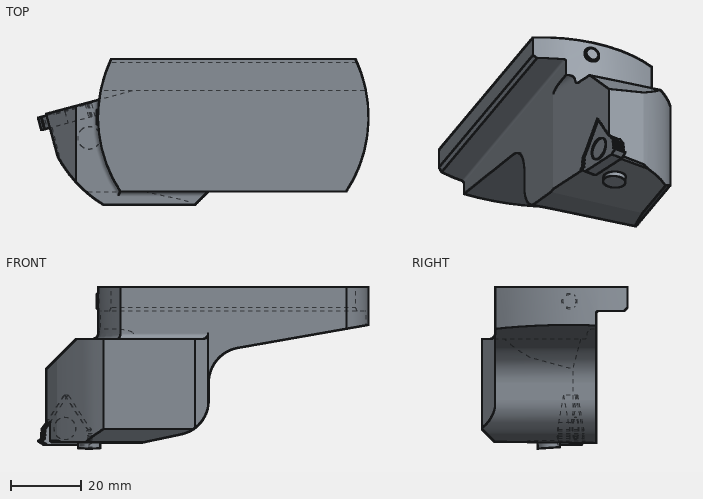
import cadquery as cq
import math


plate_radius = 38.5
plate_front_y = -21.2
plate_back_y = 16.55
flange_thickness = 6.9
flange_chamfer = 1.0
step_fillet = 0.7

body_back_y = 7.6
arm_end_thickness = 10.8
arm_slope = math.tan(math.radians(10))
arm_fillet = 10.0

head_front_y = -24.9
head_right_x = -7.0
head_bottom_z = -44.4
head_bottom_rise = 0.4
shelf_z = -14.8
corner_chamfer = 3.95
neck_fillet = 1.5
heel_start_x = -26.3
heel_slope = math.tan(math.radians(12))
heel_fillet = 10.0
nose_chamfer = 8.6
flank_chamfer = 0.75

rake_angle = 15
rake_cos = math.cos(math.radians(rake_angle))
rake_sin = math.sin(math.radians(rake_angle))
nose_x = -53.2
nose_y = 0.9
flank_length = 12.5
front_start_x = -37.0
nose_round_radius = 36.7
rake_top_z = -11.9
rake_fillet = neck_fillet

stop_pin_diameter = 4.4
stop_pin_chamfer = 0.4
stop_pin_z = -4.0
stop_pin_protrusion = 0.5
stop_pin_length = 3.8
screw_diameter = 6.4
screw_x = -41.0
screw_y = -5.8
screw_tilt = 4
screw_end_z = -45.8
screw_length = 5.6

insert_thickness = 3.7
insert_recess = 0.5
insert_center_along_rake = 5.4
insert_bottom_z = -44.95
insert_dish_diameter = 6.4
insert_dish_height = 4.7
insert_dish_depth = 0.3
insert_half_outline = [
    (0, 14.3), (5.3, 6.5), (6.9, 4.4), (6.6, 3.95), (7.1, 3.3),
    (6.7, 2.9), (7.1, 2.4), (6.8, 1.8), (7.9, 1.1), (6.1, 0),
]

clear = 112.85


def prism_along_x(points):
    """Prism through the whole part from an outline in Y and Z."""
    return cq.Workplane("YZ").polyline(points).close().extrude(clear, both=True)


def prism_along_y(points):
    """Prism through the whole part from an outline in X and Z."""
    return cq.Workplane("XZ").polyline(points).close().extrude(clear, both=True)


def rake_plane(depth):
    """Plane parallel to the rake face and below it by depth: X along the face, Y up, Z into the head."""
    return cq.Plane(
        origin=(nose_x + depth * rake_sin, nose_y - depth * rake_cos, 0),
        xDir=(rake_cos, rake_sin, 0),
        normal=(rake_sin, -rake_cos, 0),
    )


def make_side_profile():
    """Everything inside the tapering arm, the right wall and the rising heel."""
    arm_root_z = -arm_end_thickness - (plate_radius - head_right_x) * arm_slope
    heel_top_z = head_bottom_z + (head_right_x - heel_start_x) * heel_slope
    profile = prism_along_y([
        (-clear, 0),
        (clear, 0),
        (clear, -arm_end_thickness + (clear - plate_radius) * arm_slope),
        (head_right_x, arm_root_z),
        (head_right_x, heel_top_z),
        (heel_start_x, head_bottom_z),
        (-clear, head_bottom_z),
    ])
    profile = profile.edges(cq.NearestToPointSelector((head_right_x, 0, arm_root_z))).fillet(arm_fillet)
    return profile.edges(cq.NearestToPointSelector((head_right_x, 0, heel_top_z))).fillet(heel_fillet)


def make_body():
    """Plate with its rear flange and the arm below it."""
    section = prism_along_x([
        (plate_front_y, 0),
        (plate_back_y, 0),
        (plate_back_y, -flange_thickness + flange_chamfer),
        (plate_back_y - flange_chamfer, -flange_thickness),
        (body_back_y, -flange_thickness),
        (body_back_y, head_bottom_z),
        (plate_front_y, head_bottom_z),
    ])
    step = cq.NearestToPointSelector((0, body_back_y, -flange_thickness))
    section = section.edges(step).fillet(step_fillet)
    disc = cq.Workplane("XY").circle(plate_radius).extrude(head_bottom_z)
    return section.intersect(disc)


def make_head_block(top_z):
    """Plan outline of the head, extruded from the underside up to top_z."""
    rake_end_x = nose_x + (body_back_y - nose_y) * rake_cos / rake_sin
    flank_end = (nose_x + flank_length * rake_sin, nose_y - flank_length * rake_cos)
    return (
        cq.Workplane("XY", origin=(0, 0, head_bottom_z))
        .moveTo(nose_x, nose_y)
        .lineTo(rake_end_x, body_back_y)
        .lineTo(head_right_x, body_back_y)
        .lineTo(head_right_x, head_front_y + corner_chamfer)
        .lineTo(head_right_x - corner_chamfer, head_front_y)
        .lineTo(front_start_x, head_front_y)
        .radiusArc(flank_end, nose_round_radius)
        .close()
        .extrude(top_z - head_bottom_z)
    )


def make_neck_foot():
    """Concave flare where the neck meets the shelf, mitred at the front corner."""
    top_z = shelf_z + neck_fillet
    mid = neck_fillet * (1 - math.sqrt(0.5))
    round_flare = (
        cq.Workplane("XZ")
        .moveTo(0, shelf_z)
        .lineTo(plate_radius + neck_fillet, shelf_z)
        .threePointArc((plate_radius + mid, shelf_z + mid), (plate_radius, top_z))
        .lineTo(0, top_z)
        .close()
        .revolve(360, (0, 0, 0), (0, 1, 0))
    )
    straight_flare = (
        cq.Workplane("YZ")
        .moveTo(body_back_y, shelf_z)
        .lineTo(plate_front_y - neck_fillet, shelf_z)
        .threePointArc((plate_front_y - mid, shelf_z + mid), (plate_front_y, top_z))
        .lineTo(body_back_y, top_z)
        .close()
        .extrude(clear, both=True)
    )
    return round_flare.intersect(straight_flare)


def make_head():
    """Head block with its shelf, neck flare, and the chamfers at the nose."""
    neck_foot = make_head_block(shelf_z + neck_fillet).intersect(make_neck_foot())
    head = make_head_block(shelf_z).union(neck_foot)
    nose_cut = prism_along_y([
        (nose_x, shelf_z - nose_chamfer),
        (nose_x + nose_chamfer, shelf_z),
        (nose_x, shelf_z),
    ])
    flank_cut = (
        cq.Workplane(rake_plane(0))
        .polyline([
            (0, head_bottom_z),
            (flank_chamfer, head_bottom_z),
            (0, head_bottom_z + flank_chamfer),
        ])
        .close()
        .extrude(clear, both=True)
    )
    return head.cut(nose_cut).cut(flank_cut)


def make_underside_cut():
    """Slight rise of the underside towards the front, and the chamfer along the front edge."""
    return prism_along_x([
        (body_back_y, head_bottom_z),
        (head_front_y, head_bottom_z),
        (head_front_y, head_bottom_z + head_bottom_rise),
    ]).union(prism_along_x([
        (head_front_y, head_bottom_z),
        (head_front_y + corner_chamfer, head_bottom_z),
        (head_front_y, head_bottom_z + corner_chamfer),
    ]))


def make_rake_cut():
    """Space in front of the rake face, rounded where it runs out under the plate."""
    cut = (
        cq.Workplane(rake_plane(0))
        .moveTo(-clear, rake_top_z)
        .lineTo(clear, rake_top_z)
        .lineTo(clear, -clear)
        .lineTo(-clear, -clear)
        .close()
        .extrude(-clear)
    )
    return cut.edges(cq.NearestToPointSelector((nose_x, nose_y, rake_top_z))).fillet(rake_fillet)


def make_stop_pin():
    """Short chamfered pin standing out of the round end."""
    pin_end_x = -plate_radius - stop_pin_protrusion
    return (
        cq.Workplane("YZ", origin=(pin_end_x, 0, stop_pin_z))
        .circle(stop_pin_diameter / 2)
        .extrude(stop_pin_length)
        .faces("<X")
        .chamfer(stop_pin_chamfer)
    )


def make_screw_end():
    """End of the clamping screw, standing a little out of the underside."""
    return (
        cq.Workplane("XY")
        .circle(screw_diameter / 2)
        .extrude(screw_length)
        .rotate((0, 0, 0), (1, 0, 0), screw_tilt)
        .translate((screw_x, screw_y, screw_end_z))
    )


def make_insert_blank(face_depth, thickness):
    """Insert outline extruded from face_depth below the rake face inwards."""
    left_half = [(-along, height) for along, height in reversed(insert_half_outline[1:])]
    points = [
        (insert_center_along_rake + along, insert_bottom_z + height)
        for along, height in insert_half_outline + left_half
    ]
    return cq.Workplane(rake_plane(face_depth)).polyline(points).close().extrude(thickness)


def make_insert():
    """Thread insert with toothed corners and a shallow round dish in its face."""
    dish = (
        cq.Workplane(rake_plane(insert_recess))
        .center(insert_center_along_rake, insert_bottom_z + insert_dish_height)
        .circle(insert_dish_diameter / 2)
        .extrude(insert_dish_depth)
    )
    return make_insert_blank(insert_recess, insert_thickness).cut(dish)


def make_holder():
    """Plate, arm and head in one piece, with the pocket for the insert."""
    pocket = make_insert_blank(0, insert_recess + insert_thickness)
    holder = make_body().union(make_head()).intersect(make_side_profile())
    holder = holder.cut(make_underside_cut()).cut(make_rake_cut())
    holder = holder.union(make_stop_pin()).union(make_screw_end())
    return holder.cut(pocket)


holder = make_holder()
insert = make_insert()
result = cq.Compound.makeCompound([holder.val(), insert.val()])